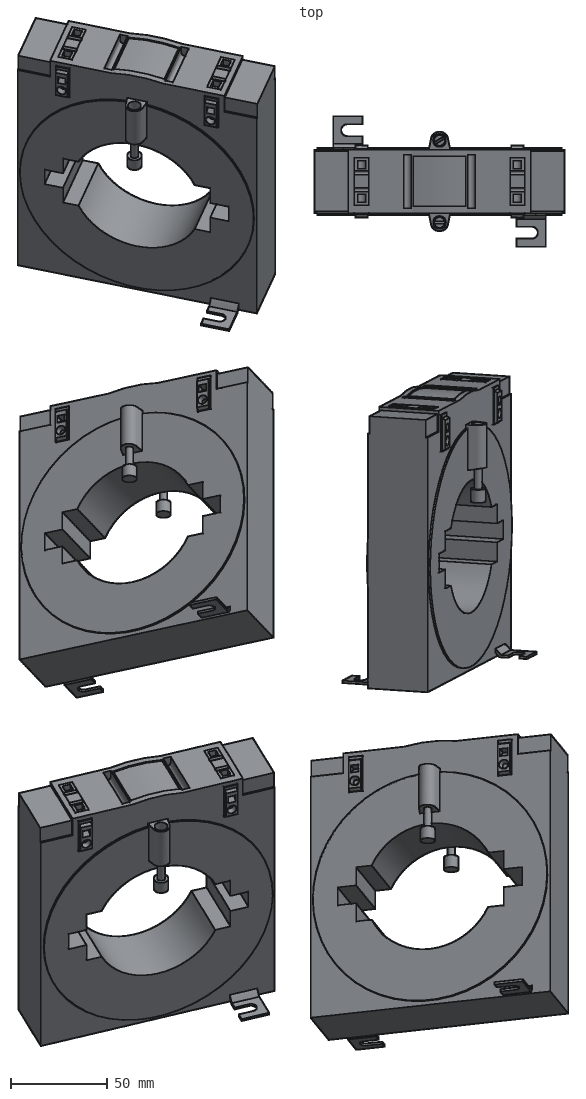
import cadquery as cq
import math

WIDTH = 130.0
SLAB_DEPTH = 33.0
OUTER_DEPTH = 68.0
TOP_Z = 147.1
COVER_Z = 145.8
COVER_WIDTH = 94.7
CORNER_Z = 144.0
CORNER_DEPTH = 31.2
LEDGE_Z = 134.7
HUMP_WIDTH = 28.2
LABEL_WIDTH = 27.4
LABEL_DEPTH = 26.0
LABEL_SINK = 0.7
GROOVE_WIDTH = 4.1
GROOVE_SINK = 5.9
GROOVE_LENGTH = 28.0
GROOVE_X = 16.6

AXIS_Z = 65.7
DISC_RADIUS = 63.5
DISC_DEPTH = 35.0
BORE_RADIUS = 35.0
BAR_SLOTS = [(80.0, 30.3), (100.0, 10.0)]

SCREW_Y = 21.3
BARREL_RADIUS = 4.5
BARREL_BASE_WIDTH = 10.9
BARREL_TOP_Z = 130.9
BARREL_BASE_Z = 107.0
BARREL_TIP_Z = 108.1
BARREL_BORE_RADIUS = 3.4
SHOULDER_Z = 117.7
SHAFT_RADIUS = 2.0
HEAD_RADIUS = 2.8
HEAD_HEIGHT = 3.7
HEAD_SLOT_WIDTH = 1.2
HEAD_SLOT_DEPTH = 1.2
FRONT_SLOT_ANGLE = 0
BACK_SLOT_ANGLE = 30
CAP_RADIUS = 3.8
CAP_TOP_Z = 96.5
CAP_BOTTOM_Z = 89.7
CAP_SOCKET_DEPTH = 4.4

TERMINAL_X = 40.5
TERMINAL_WIDTH = 7.5
TERMINAL_BOTTOM_Z = 123.5
TERMINAL_TOP_Z = 143.1
LIP_DEPTH = 34.1
FACE_DEPTH = 37.5
FACE_WIDTH = 6.5
FACE_TOP_Z = 140.3
FACE_BOTTOM_Z = 124.9
FACE_SLOPE_TOP_Z = 141.4
INSERT_DEPTH = 24.7
WIRE_HOLE_SIZE = 4.3
WIRE_HOLE_Y = 8.7
WIRE_HOLE_DEPTH = 5.9
RIB_GROOVE_RADIUS = 1.0
RIB_GROOVE_Y = 4.4
POCKET_SIZE = 4.1
POCKET_Z = 135.6
POCKET_DEPTH = 5.9
FUNNEL_Z = 128.9
FUNNEL_RADIUS = 2.5
FUNNEL_END_RADIUS = 1.5
FUNNEL_DEPTH = 3.0

FOOT_THICKNESS = 1.3
FOOT_WIDTH = 15.3
FOOT_X = 47.7
FOOT_SLOT_WIDTH = 6.0
FOOT_SLOT_Y = 26.6
FOOT_SLOT_END = 3.4
FOOT_TOP_Z = 4.4
FOOT_BEVEL_Y = 17.7
FOOT_BEVEL_Z = 3.4
FOOT_BEND_TOP_Y = 19.7
FOOT_BEND_BOTTOM_Y = 18.7
FOOT_CONTACT_Z = 2.6


def box(width, depth, bottom_z, top_z, x=0, y=0):
    """Upright box centred on (x, y)."""
    return (
        cq.Workplane("XY", origin=(x, y, bottom_z))
        .rect(width, depth)
        .extrude(top_z - bottom_z)
    )


def rod(radius, bottom_z, top_z, y=0):
    """Upright cylinder centred on x = 0."""
    return cq.Workplane("XY", origin=(0, y, bottom_z)).circle(radius).extrude(top_z - bottom_z)


def cross_rod(radius, length, x, y, z, direction):
    """Horizontal cylinder with its middle at (x, y, z)."""
    axis = cq.Vector(*direction)
    start = cq.Vector(x, y, z) - axis * (length / 2)
    return cq.Workplane(cq.Solid.makeCylinder(radius, length, start, axis))


def to_back(body):
    """Copy of a front feature, turned half a turn about Z."""
    return body.rotate((0, 0, 0), (0, 0, 1), 180)


def round_floor_slot(width, length, sink, x, y):
    """Slot sunk from the cover along Y, with a half-round floor."""
    floor_axis_z = COVER_Z - sink + width / 2
    slot = box(width, length, floor_axis_z, TOP_Z, x, y)
    return slot.union(cross_rod(width / 2, length, x, y, floor_axis_z, (0, 1, 0)))


def hump():
    half = HUMP_WIDTH / 2
    return (
        cq.Workplane("XZ", origin=(0, SLAB_DEPTH / 2, 0))
        .moveTo(-half, COVER_Z)
        .threePointArc((0, TOP_Z), (half, COVER_Z))
        .close()
        .extrude(SLAB_DEPTH)
    )


def label_recess():
    """Curved layer of constant depth, sunk into the hump."""
    rise = TOP_Z - COVER_Z
    crown_radius = ((HUMP_WIDTH / 2) ** 2 + rise**2) / (2 * rise)
    floor_radius = crown_radius - LABEL_SINK
    floor = cross_rod(floor_radius, SLAB_DEPTH, 0, 0, TOP_Z - crown_radius, (0, 1, 0))
    return box(LABEL_WIDTH, LABEL_DEPTH, LEDGE_Z, TOP_Z).cut(floor)


def opening():
    hole = cq.Workplane("XZ", origin=(0, DISC_DEPTH / 2, AXIS_Z)).circle(BORE_RADIUS).extrude(DISC_DEPTH)
    for width, height in BAR_SLOTS:
        hole = hole.union(box(width, DISC_DEPTH, AXIS_Z - height / 2, AXIS_Z + height / 2))
    return hole


def front_barrel():
    """Tapered screw barrel with a rounded front and a sloping lower end."""
    base_y = SLAB_DEPTH / 2
    reach = SCREW_Y - DISC_DEPTH / 2
    half = BARREL_BASE_WIDTH / 2
    taper = math.acos(BARREL_RADIUS / math.hypot(half, reach)) - math.atan2(reach, half)
    tangent_x = BARREL_RADIUS * math.cos(taper)
    tangent_y = SCREW_Y + BARREL_RADIUS * math.sin(taper)
    tip_y = SCREW_Y + BARREL_RADIUS
    barrel = (
        cq.Workplane("XY", origin=(0, 0, BARREL_BASE_Z))
        .moveTo(-half, -base_y)
        .lineTo(-half, -DISC_DEPTH / 2)
        .lineTo(-tangent_x, -tangent_y)
        .threePointArc((0, -tip_y), (tangent_x, -tangent_y))
        .lineTo(half, -DISC_DEPTH / 2)
        .lineTo(half, -base_y)
        .close()
        .extrude(BARREL_TOP_Z - BARREL_BASE_Z)
    )
    sloping_end = (
        cq.Workplane("YZ")
        .polyline([(-DISC_DEPTH / 2, BARREL_BASE_Z), (-tip_y, BARREL_BASE_Z), (-tip_y, BARREL_TIP_Z)])
        .close()
        .extrude(BARREL_BASE_WIDTH, both=True)
    )
    return barrel.cut(sloping_end)


def front_barrel_bore():
    head_bore = rod(BARREL_BORE_RADIUS, SHOULDER_Z, BARREL_TOP_Z, -SCREW_Y)
    return head_bore.union(rod(SHAFT_RADIUS, BARREL_BASE_Z, SHOULDER_Z, -SCREW_Y))


def terminal_envelope(x):
    """Outer shape of a terminal block, without its raised faces and openings."""
    block = box(TERMINAL_WIDTH, LIP_DEPTH, TERMINAL_BOTTOM_Z, TERMINAL_TOP_Z, x)
    return block.union(box(TERMINAL_WIDTH, INSERT_DEPTH, TERMINAL_BOTTOM_Z, COVER_Z, x))


def make_housing():
    housing = box(WIDTH, SLAB_DEPTH, 0, LEDGE_Z)
    housing = housing.union(box(WIDTH, CORNER_DEPTH, LEDGE_Z, CORNER_Z))
    housing = housing.union(box(COVER_WIDTH, SLAB_DEPTH, LEDGE_Z, COVER_Z))
    housing = housing.union(hump()).cut(label_recess())
    housing = housing.union(cross_rod(DISC_RADIUS, DISC_DEPTH, 0, 0, AXIS_Z, (0, 1, 0)))
    barrel = front_barrel()
    bore = front_barrel_bore()
    housing = housing.union(barrel).union(to_back(barrel))
    housing = housing.cut(bore).cut(to_back(bore)).cut(opening())
    for side in (-1, 1):
        housing = housing.cut(
            round_floor_slot(GROOVE_WIDTH, GROOVE_LENGTH, GROOVE_SINK, side * GROOVE_X, 0)
        )
        housing = housing.cut(terminal_envelope(side * TERMINAL_X))
    return housing


def raised_face(x):
    """Front face plate of a terminal, with sloping upper and lower ends."""
    lip_y = -LIP_DEPTH / 2
    face_y = -FACE_DEPTH / 2
    profile = [
        (lip_y, FACE_SLOPE_TOP_Z),
        (face_y, FACE_TOP_Z),
        (face_y, FACE_BOTTOM_Z),
        (lip_y, TERMINAL_BOTTOM_Z),
    ]
    return (
        cq.Workplane("YZ", origin=(x - FACE_WIDTH / 2, 0, 0))
        .polyline(profile)
        .close()
        .extrude(FACE_WIDTH)
    )


def face_openings(x):
    """Wedge pocket and conical screwdriver funnel in the front face of a terminal."""
    face_y = -FACE_DEPTH / 2
    low = POCKET_Z - POCKET_SIZE / 2
    high = POCKET_Z + POCKET_SIZE / 2
    pocket = (
        cq.Workplane("YZ", origin=(x - POCKET_SIZE / 2, 0, 0))
        .polyline([(face_y, low), (face_y, high), (face_y + POCKET_DEPTH, high)])
        .close()
        .extrude(POCKET_SIZE)
    )
    funnel = cq.Solid.makeCone(
        FUNNEL_RADIUS,
        FUNNEL_END_RADIUS,
        FUNNEL_DEPTH,
        cq.Vector(x, face_y, FUNNEL_Z),
        cq.Vector(0, 1, 0),
    )
    return pocket.union(cq.Workplane(funnel))


def make_terminal(side):
    x = side * TERMINAL_X
    terminal = terminal_envelope(x).union(raised_face(x)).union(to_back(raised_face(-x)))
    terminal = terminal.cut(face_openings(x)).cut(to_back(face_openings(-x)))
    for end in (-1, 1):
        terminal = terminal.cut(
            round_floor_slot(WIRE_HOLE_SIZE, WIRE_HOLE_SIZE, WIRE_HOLE_DEPTH, x, end * WIRE_HOLE_Y)
        )
        terminal = terminal.cut(
            cross_rod(RIB_GROOVE_RADIUS, TERMINAL_WIDTH, x, end * RIB_GROOVE_Y, COVER_Z, (1, 0, 0))
        )
    return terminal


def make_screw(slot_angle):
    """Front clamp screw with a slotted head."""
    head_top = SHOULDER_Z + HEAD_HEIGHT
    screw = rod(SHAFT_RADIUS, CAP_TOP_Z - CAP_SOCKET_DEPTH, SHOULDER_Z, -SCREW_Y)
    screw = screw.union(rod(HEAD_RADIUS, SHOULDER_Z, head_top, -SCREW_Y))
    slot = box(2 * HEAD_RADIUS, HEAD_SLOT_WIDTH, head_top - HEAD_SLOT_DEPTH, head_top, 0, -SCREW_Y)
    slot = slot.rotate((0, -SCREW_Y, 0), (0, -SCREW_Y, 1), slot_angle)
    return screw.cut(slot)


def make_cap():
    """Cap pushed onto the lower end of the front clamp screw."""
    cap = rod(CAP_RADIUS, CAP_BOTTOM_Z, CAP_TOP_Z, -SCREW_Y)
    return cap.cut(rod(SHAFT_RADIUS, CAP_TOP_Z - CAP_SOCKET_DEPTH, CAP_TOP_Z, -SCREW_Y))


def make_foot():
    """Front mounting foot: a bent plate with a slot open towards -X."""
    slab_y = -SLAB_DEPTH / 2
    end_y = -OUTER_DEPTH / 2
    profile = [
        (slab_y, FOOT_TOP_Z),
        (-FOOT_BEVEL_Y, FOOT_BEVEL_Z),
        (-FOOT_BEND_TOP_Y, FOOT_THICKNESS),
        (end_y, FOOT_THICKNESS),
        (end_y, 0),
        (-FOOT_BEND_BOTTOM_Y, 0),
        (slab_y, FOOT_CONTACT_Z),
    ]
    foot = (
        cq.Workplane("YZ", origin=(FOOT_X - FOOT_WIDTH / 2, 0, 0))
        .polyline(profile)
        .close()
        .extrude(FOOT_WIDTH)
    )
    left = FOOT_X - FOOT_WIDTH / 2
    round_x = FOOT_X + FOOT_SLOT_END - FOOT_SLOT_WIDTH / 2
    slot = box(round_x - left, FOOT_SLOT_WIDTH, 0, FOOT_THICKNESS, (left + round_x) / 2, -FOOT_SLOT_Y)
    slot_round = cq.Workplane("XY", origin=(round_x, -FOOT_SLOT_Y, 0)).circle(FOOT_SLOT_WIDTH / 2)
    return foot.cut(slot.union(slot_round.extrude(FOOT_THICKNESS)))


housing = make_housing()
terminals = [make_terminal(side) for side in (-1, 1)]
screws = [make_screw(FRONT_SLOT_ANGLE), to_back(make_screw(BACK_SLOT_ANGLE))]
caps = [make_cap(), to_back(make_cap())]
feet = [make_foot(), to_back(make_foot())]

result = cq.Compound.makeCompound(
    [body.val() for body in [housing, *terminals, *screws, *caps, *feet]]
)